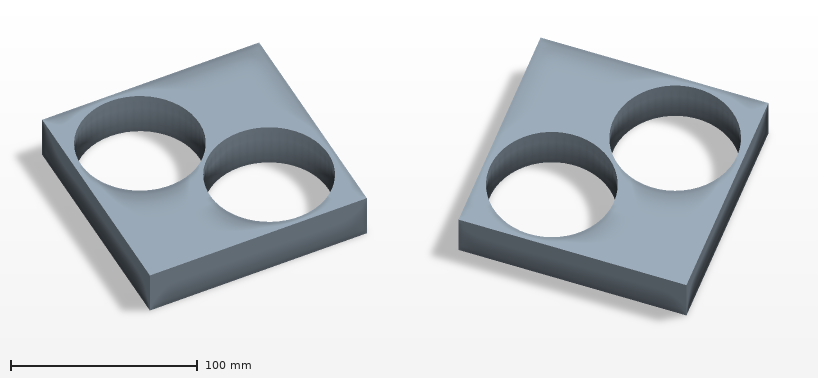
import cadquery as cq

side = 129.6
thickness = 27.0

hole_diameter = 70.5
hole_offset = 25.8

hole_centres = [(sign * hole_offset, sign * hole_offset) for sign in (-1, 1)]

plate = cq.Workplane("XY").box(side, side, thickness)
result = plate.faces(">Z").workplane().pushPoints(hole_centres).hole(hole_diameter)